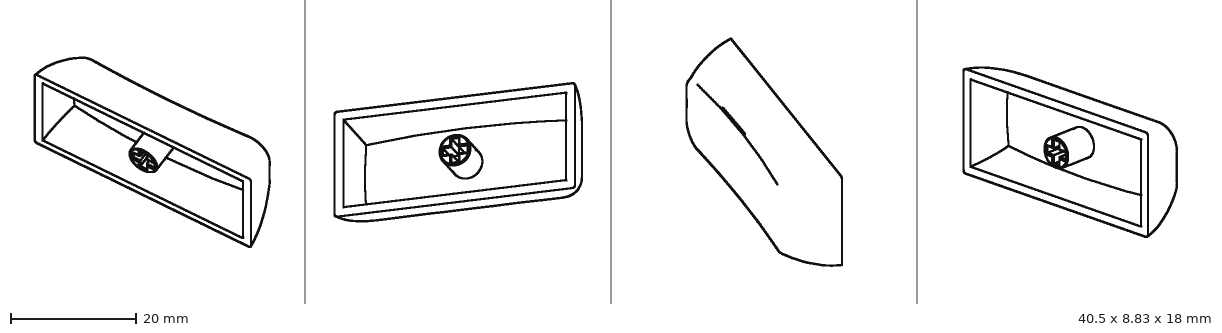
import cadquery as cq
import math

LENGTH = 40.5
WIDTH = 18.0
LENGTH_BOW_RADIUS = 22.0
WIDTH_BOW_RADIUS = 17.9
BASE_CORNER_RADIUS = 0.5
TOP_CORNER_RADIUS = 4.3
BLANK_HEIGHT = 9.2
SECTION_COUNT = 6

DISH_HEIGHT = 7.58
DISH_LONG_RADIUS = 151.0
DISH_CROSS_RADIUS = 52.0
DISH_HALF_WIDTH = 12.0
RIM_FILLET = 0.3

WALL = 1.5
ROOF_THICKNESS = 1.45

STEM_DIAMETER = 5.2
STEM_CHAMFER = 0.15
CROSS_LENGTH = 4.1
CROSS_WIDTH = 1.2
CROSS_DEPTH = 4.0
CROSS_CHAMFER = 0.23


def bow_inset(height, radius):
    """Inward travel of a wall that leaves the base square and bows to an arc."""
    return radius - math.sqrt(radius**2 - height**2)


def plane_at(height):
    """Plane across the part at a height, with local x along X and local y along Z."""
    return cq.Plane(origin=(0, height, 0), xDir=(1, 0, 0), normal=(0, -1, 0))


def shell_section(height):
    """Rounded rectangle of the outer walls; its corner radius grows with height."""
    length = LENGTH - 2 * bow_inset(height, LENGTH_BOW_RADIUS)
    width = WIDTH - 2 * bow_inset(height, WIDTH_BOW_RADIUS)
    growth = (TOP_CORNER_RADIUS - BASE_CORNER_RADIUS) / BLANK_HEIGHT
    radius = BASE_CORNER_RADIUS + growth * height
    sketch = cq.Sketch().rect(length, width).vertices().fillet(radius)
    return sketch.moved(cq.Location(cq.Vector(0, 0, -height)))


def dish_barrel(height, offset=0.0):
    """Barrel about an axis parallel to Z; its lowest point is at the given height on Y.

    The offset enlarges both of its curvatures, giving a surface parallel to the dish.
    """
    long_radius = DISH_LONG_RADIUS + offset
    cross_radius = DISH_CROSS_RADIUS + offset
    edge_rise = bow_inset(DISH_HALF_WIDTH, cross_radius)
    plane = cq.Plane(origin=(0, height, 0), xDir=(0, 0, 1), normal=(-1, 0, 0))
    barrel = (
        cq.Workplane(plane)
        .moveTo(-DISH_HALF_WIDTH, edge_rise)
        .threePointArc((0, 0), (DISH_HALF_WIDTH, edge_rise))
        .lineTo(DISH_HALF_WIDTH, long_radius)
        .lineTo(-DISH_HALF_WIDTH, long_radius)
        .close()
        .revolve(360, (0, long_radius), (1, long_radius))
    )
    axis_height = height + long_radius
    return barrel.rotate((0, axis_height, 0), (0, axis_height, 1), 180)


def make_shell():
    step = BLANK_HEIGHT / (SECTION_COUNT - 1)
    heights = [step * i for i in range(SECTION_COUNT)]
    sections = [shell_section(h) for h in heights]
    blank = cq.Workplane(plane_at(0)).placeSketch(*sections).loft()
    dished = blank.cut(dish_barrel(DISH_HEIGHT))
    return dished.faces(">Y").edges().fillet(RIM_FILLET)


def bowed_prism(plane, base_width, bow_radius, depth):
    """Prism with two bowed walls, extruded evenly to both sides of its plane."""
    half = base_width / 2
    top_half = half - bow_inset(BLANK_HEIGHT, bow_radius)
    mid_height = BLANK_HEIGHT / 2
    mid_half = half - bow_inset(mid_height, bow_radius)
    return (
        cq.Workplane(plane)
        .moveTo(-half, 0)
        .lineTo(half, 0)
        .threePointArc((mid_half, mid_height), (top_half, BLANK_HEIGHT))
        .lineTo(-top_half, BLANK_HEIGHT)
        .threePointArc((-mid_half, mid_height), (-half, 0))
        .close()
        .extrude(depth / 2, both=True)
    )


def make_cavity():
    along_z = cq.Plane(origin=(0, 0, 0), xDir=(1, 0, 0), normal=(0, 0, 1))
    along_x = cq.Plane(origin=(0, 0, 0), xDir=(0, 0, -1), normal=(1, 0, 0))
    end_walls = bowed_prism(along_z, LENGTH - 2 * WALL, LENGTH_BOW_RADIUS - WALL, WIDTH)
    long_walls = bowed_prism(along_x, WIDTH - 2 * WALL, WIDTH_BOW_RADIUS - WALL, LENGTH)
    roof = dish_barrel(DISH_HEIGHT - ROOF_THICKNESS, ROOF_THICKNESS)
    return end_walls.intersect(long_walls).cut(roof)


def make_stem():
    length = DISH_HEIGHT - ROOF_THICKNESS / 2
    stem = cq.Workplane(plane_at(0)).circle(STEM_DIAMETER / 2).extrude(-length)
    return stem.faces("<Y").chamfer(STEM_CHAMFER)


def make_socket():
    """Cross-shaped socket with a chamfered mouth."""
    socket = None
    for size in ((CROSS_LENGTH, CROSS_WIDTH), (CROSS_WIDTH, CROSS_LENGTH)):
        bar = cq.Workplane(plane_at(0)).rect(*size).extrude(-CROSS_DEPTH)
        mouth_size = [side + 2 * CROSS_CHAMFER for side in size]
        mouth = (
            cq.Workplane(plane_at(0))
            .rect(*mouth_size)
            .workplane(offset=-CROSS_CHAMFER)
            .rect(*size)
            .loft(ruled=True)
        )
        bar = bar.union(mouth)
        socket = bar if socket is None else socket.union(bar)
    return socket


result = make_shell().cut(make_cavity()).union(make_stem()).cut(make_socket())